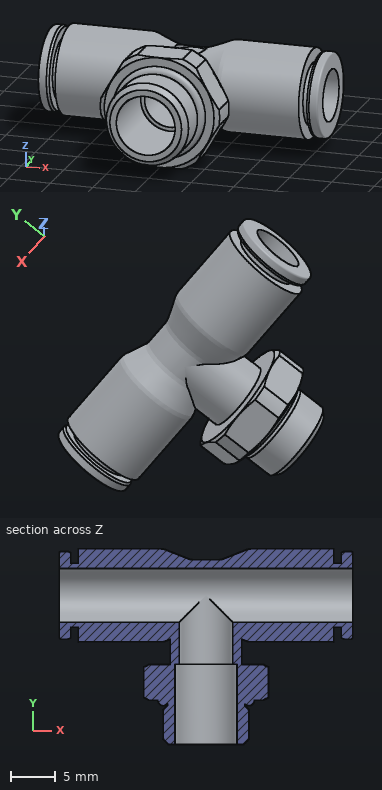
import cadquery as cq
import math


run_length = 33.0
body_radius = 5.25
waist_radius = 4.03
bore_radius = 3.0
waist_half_length = 1.7
cone_end = 4.8
cone_blend_radius = 1.32

collar_radius = 4.95
collar_thickness = 1.32
collar_rounding = 0.23
collar_chamfer_length = 0.3
collar_chamfer_height = 0.15
collar_neck_radius = 3.63
collar_gap = 0.82

branch_radius = waist_radius
nut_start = 7.75
nut_end = 11.78
thread_start = 12.35
branch_end = 16.75
thread_radius = 4.85
thread_lead_in = 0.5
thread_tip_chamfer = 0.63
undercut_radius = thread_radius - thread_lead_in
branch_bore_radius = 3.45

nut_sides = 6
nut_across_flats = 13.0
nut_corner_radius = 7.03
nut_face_radius = 6.47
nut_chamfer_angle = 27.0

ring_section_radius = 0.63
ring_mean_radius = 4.82

label_radius = 1.78
label_floor_height = 3.5

run_half_length = run_length / 2
collar_back = run_half_length - collar_thickness
body_end = collar_back - collar_gap


def revolve_about_x(points):
    return cq.Workplane("XY").polyline(points).close().revolve(360, (0, 0), (1, 0))


def revolve_about_y(points):
    return cq.Workplane("XY").polyline(points).close().revolve(360, (0, 0), (0, 1))


def branch_cylinder(radius, start, end):
    """Cylinder on the branch axis between two distances from the run axis."""
    return cq.Workplane("XZ").workplane(offset=start).circle(radius).extrude(end - start)


def circles_at(body, distance):
    """Edges whose centre lies at the given distance along the run on either side."""
    return body.edges().filter(lambda edge: math.isclose(abs(edge.Center().x), distance, abs_tol=0.003))


def make_body():
    """Two sleeves joined by cones to a narrow waist."""
    body = revolve_about_x([
        (-body_end, 0),
        (-body_end, body_radius),
        (-cone_end, body_radius),
        (-waist_half_length, waist_radius),
        (waist_half_length, waist_radius),
        (cone_end, body_radius),
        (body_end, body_radius),
        (body_end, 0),
    ])
    for junction in (waist_half_length, cone_end):
        body = circles_at(body, junction).fillet(cone_blend_radius)
    return body


def make_collar():
    """Release collar on the +X end, with the neck that carries it."""
    collar = revolve_about_x([
        (body_end, 0),
        (body_end, collar_neck_radius),
        (collar_back, collar_neck_radius),
        (collar_back, collar_radius - collar_chamfer_height),
        (collar_back + collar_chamfer_length, collar_radius),
        (run_half_length, collar_radius),
        (run_half_length, 0),
    ])
    return collar.faces(">X").edges().fillet(collar_rounding)


def make_nut():
    """Hexagon with turned corners and both ends chamfered, flats facing up and down."""
    sharp_radius = nut_across_flats / 2 / math.cos(math.pi / nut_sides)
    corner_angles = [math.tau * i / nut_sides for i in range(nut_sides)]
    corners = [(sharp_radius * math.cos(a), sharp_radius * math.sin(a)) for a in corner_angles]
    hexagon = (
        cq.Workplane("XZ")
        .workplane(offset=nut_start)
        .polyline(corners)
        .close()
        .extrude(nut_end - nut_start)
    )
    chamfer_length = (nut_corner_radius - nut_face_radius) * math.tan(math.radians(nut_chamfer_angle))
    turned_blank = revolve_about_y([
        (0, -nut_start),
        (nut_face_radius, -nut_start),
        (nut_corner_radius, -nut_start - chamfer_length),
        (nut_corner_radius, -nut_end + chamfer_length),
        (nut_face_radius, -nut_end),
        (0, -nut_end),
    ])
    return hexagon.intersect(turned_blank)


def make_thread():
    """Plain threaded end with its undercut, lead-in and tip chamfer."""
    return revolve_about_y([
        (0, -nut_end),
        (undercut_radius, -nut_end),
        (undercut_radius, -thread_start),
        (thread_radius, -thread_start - thread_lead_in),
        (thread_radius, -branch_end + thread_tip_chamfer),
        (thread_radius - thread_tip_chamfer, -branch_end),
        (0, -branch_end),
    ])


def make_sealing_ring():
    return (
        cq.Workplane("XY")
        .center(ring_mean_radius, -nut_end)
        .circle(ring_section_radius)
        .revolve(360, (-ring_mean_radius, 0), (-ring_mean_radius, 1))
    )


def make_bores():
    """Through bore of the run, and the branch bore that widens from the nut outwards."""
    run_bore = cq.Workplane("YZ").circle(bore_radius).extrude(run_half_length, both=True)
    branch_bore = branch_cylinder(bore_radius, 0, branch_end)
    wide_bore = branch_cylinder(branch_bore_radius, nut_start, branch_end)
    return run_bore.union(branch_bore).union(wide_bore)


def make_label_recess():
    depth = body_radius - label_floor_height
    return cq.Workplane("XY").workplane(offset=label_floor_height).circle(label_radius).extrude(depth)


collar = make_collar()
fitting = make_body().union(collar).union(collar.mirror("YZ"))
fitting = fitting.union(branch_cylinder(branch_radius, 0, nut_start))
fitting = fitting.union(make_nut()).union(make_thread()).union(make_sealing_ring())
result = fitting.cut(make_bores()).cut(make_label_recess())